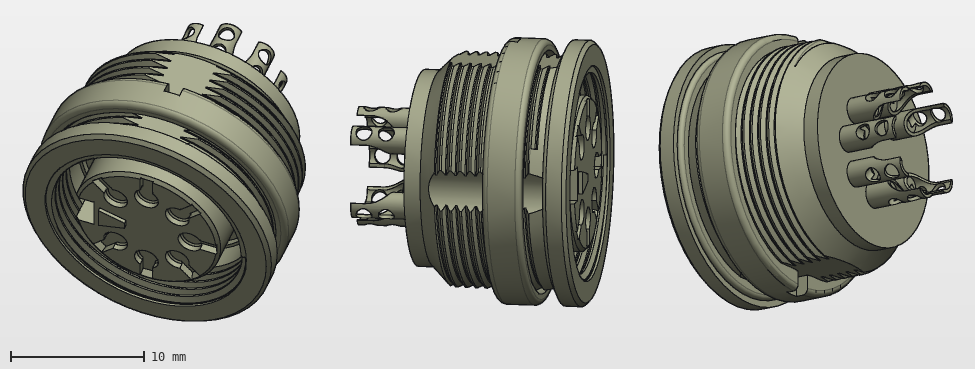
import cadquery as cq
import math


FLANGE_RADIUS = 10.0
FLANGE_THICKNESS = 1.5
FLANGE_CHAMFER = 0.3
BEAD_RADIUS = 9.5
BEAD_BACK = 1.9
BEAD_FILLET = 0.35
BEAD_EMBED = 0.5

RELIEF_RADIUS = 8.6
RELIEF_END = 3.0
THREAD_RADIUS = 8.95
REAR_RADIUS = 7.4
REAR_DISC_FRONT = 11.56
SHELL_BACK = 12.8
REAR_CONE_START = REAR_DISC_FRONT - (THREAD_RADIUS - REAR_RADIUS)
FLAT_DISTANCE = 8.43
KEY_GROOVE_RADIUS = 2.2
KEY_GROOVE_BOTTOM = 8.2
KEY_GROOVE_CENTRE = KEY_GROOVE_BOTTOM + KEY_GROOVE_RADIUS

THREAD_PITCH = 0.75
THREAD_CREST_FLAT = 0.15
THREAD_ROOT_FLAT = 0.1
OUTER_THREAD_DEPTH = 0.35
OUTER_THREAD_START = 2.65
OUTER_THREAD_END = 10.4
OUTER_THREAD_START_ANGLE = 202.0
CUTTER_OVERLAP = 0.05
TURN_CLEARANCE = 0.01

NUT_RADIUS = 10.0
NUT_FRONT = 3.4
NUT_THICKNESS = 3.0
NUT_FILLET = 0.45
NUT_BORE_RADIUS = 8.5
NUT_COUNTERBORE_RADIUS = 9.15
NUT_COUNTERBORE_DEPTH = 1.0
NUT_SLOT_WIDTH = 1.25
NUT_SLOT_DEPTH = 1.0

MOUTH_RADIUS = 8.1
MOUTH_DEPTH = 0.2
BORE_RADIUS = 7.6
BORE_DEPTH = 5.5
INNER_THREAD_START = 0.1
INNER_THREAD_LENGTH = 3.6
INNER_THREAD_DEPTH = 0.45
CAVITY_FLOOR_RADIUS = 7.35
CAVITY_DEPTH = 6.0

INSERT_RADIUS = 5.87
INSERT_FACE = 0.15
INSERT_CHAMFER = 0.27
KEYWAY_INNER_X = 4.23
KEYWAY_WIDTH = 2.56
KEYWAY_FLOOR_RADIUS = 5.6
KEYWAY_DEPTH = 5.5
CONTACT_CIRCLE_RADIUS = 3.5
CONTACT_ANGLES = [45 * step for step in range(8) if step != 4]
CONTACT_HOLE_RADIUS = 0.95
CONTACT_FLOOR_RADIUS = 0.82
CONTACT_DEPTH = 0.6
CONTACT_FLOOR_CHAMFER = CONTACT_HOLE_RADIUS - CONTACT_FLOOR_RADIUS
CONTACT_SLOT_WIDTH = 1.0
CONTACT_SLOT_END = 5.67
CONTACT_SLOT_FLOOR_END = 5.41

MARK_BASE_X = -3.75
MARK_TIP_X = -1.65
MARK_BASE_WIDTH = 1.7
MARK_TIP_WIDTH = 0.6
MARK_PROTRUSION = 0.15

PIN_RADIUS = 1.0
PIN_END = 17.6
CUP_RADIUS = 0.75
CUP_BOTTOM = 14.45
CUP_FACE = 0.5
CUP_CUT_RADIUS = 1.95
CUP_CUT_TOP = 16.42
WIRE_HOLE_RADIUS = 0.6
WIRE_HOLE_HEIGHTS = (14.93, 16.63)
PIN_EMBED = 0.2


def cylinder(radius, start, end):
    return cq.Workplane("XY").workplane(offset=start).circle(radius).extrude(end - start)


def block(x_min, x_max, y_min, y_max, z_min, z_max):
    size = (x_max - x_min, y_max - y_min, z_max - z_min)
    return cq.Workplane("XY").box(*size, centered=False).translate((x_min, y_min, z_min))


def helical_cutter(crest_radius, depth, start, length, start_angle):
    """Trapezoidal thread cutter; positive depth cuts inward, negative depth cuts outward."""
    overlap = math.copysign(CUTTER_OVERLAP, depth)
    half_root = THREAD_ROOT_FLAT / 2
    half_crest = (THREAD_PITCH - THREAD_CREST_FLAT) / 2
    half_open = half_crest + (half_crest - half_root) * overlap / depth
    half_open = min(half_open, THREAD_PITCH / 2 - TURN_CLEARANCE)
    outer = crest_radius + overlap
    root = crest_radius - depth
    path = cq.Workplane(obj=cq.Wire.makeHelix(THREAD_PITCH, length, crest_radius))
    profile = cq.Workplane("XZ").polyline(
        [(outer, -half_open), (root, -half_root), (root, half_root), (outer, half_open)]
    ).close()
    cutter = profile.sweep(path, isFrenet=True)
    return cutter.rotate((0, 0, 0), (0, 0, 1), start_angle).translate((0, 0, start))


def make_flange():
    flange = cylinder(FLANGE_RADIUS, 0, FLANGE_THICKNESS).faces("<Z").edges().chamfer(FLANGE_CHAMFER)
    bead = cylinder(BEAD_RADIUS, FLANGE_THICKNESS - BEAD_EMBED, BEAD_BACK)
    bead = bead.faces(">Z").edges().fillet(BEAD_FILLET)
    return flange.union(bead)


def make_threaded_shell():
    shell = (
        cq.Workplane("XZ")
        .moveTo(0, BEAD_BACK - BEAD_FILLET)
        .lineTo(RELIEF_RADIUS, BEAD_BACK - BEAD_FILLET)
        .lineTo(RELIEF_RADIUS, BEAD_BACK)
        .lineTo(THREAD_RADIUS, RELIEF_END)
        .lineTo(THREAD_RADIUS, REAR_CONE_START)
        .lineTo(REAR_RADIUS, REAR_DISC_FRONT)
        .lineTo(REAR_RADIUS, SHELL_BACK)
        .lineTo(0, SHELL_BACK)
        .close()
        .revolve(360, (0, 0, 0), (0, 1, 0))
    )
    thread_length = OUTER_THREAD_END - OUTER_THREAD_START
    shell = shell.cut(
        helical_cutter(
            THREAD_RADIUS, OUTER_THREAD_DEPTH, OUTER_THREAD_START, thread_length, OUTER_THREAD_START_ANGLE
        )
    )
    between_flats = block(
        -FLANGE_RADIUS, FLANGE_RADIUS, -FLAT_DISTANCE, FLAT_DISTANCE, 0, SHELL_BACK
    )
    key_groove = cylinder(KEY_GROOVE_RADIUS, BEAD_BACK, SHELL_BACK).translate((-KEY_GROOVE_CENTRE, 0, 0))
    return shell.intersect(between_flats).cut(key_groove)


def make_nut():
    nut_back = NUT_FRONT + NUT_THICKNESS
    nut = cylinder(NUT_RADIUS, NUT_FRONT, nut_back).faces("<Z or >Z").edges().fillet(NUT_FILLET)
    nut = nut.cut(cylinder(NUT_BORE_RADIUS, NUT_FRONT, nut_back))
    nut = nut.cut(cylinder(NUT_COUNTERBORE_RADIUS, NUT_FRONT, NUT_FRONT + NUT_COUNTERBORE_DEPTH))
    half_slot = NUT_SLOT_WIDTH / 2
    slots = block(-half_slot, half_slot, -NUT_RADIUS, NUT_RADIUS, nut_back - NUT_SLOT_DEPTH, nut_back)
    return nut.cut(slots)


def make_cavity():
    cavity = cylinder(MOUTH_RADIUS, 0, MOUTH_DEPTH)
    cavity = cavity.union(cylinder(BORE_RADIUS, 0, BORE_DEPTH))
    cavity = cavity.union(cylinder(CAVITY_FLOOR_RADIUS, 0, CAVITY_DEPTH))
    thread = helical_cutter(
        BORE_RADIUS, -INNER_THREAD_DEPTH, INNER_THREAD_START, INNER_THREAD_LENGTH, 0
    )
    return cavity, thread


def make_contact_recess():
    hole = cylinder(CONTACT_HOLE_RADIUS, 0, CONTACT_DEPTH)
    hole = hole.faces(">Z").edges().chamfer(CONTACT_FLOOR_CHAMFER)
    hole = hole.translate((CONTACT_CIRCLE_RADIUS, 0, 0))
    slot = (
        cq.Workplane("XZ")
        .moveTo(CONTACT_CIRCLE_RADIUS, 0)
        .lineTo(CONTACT_SLOT_END, 0)
        .lineTo(CONTACT_SLOT_FLOOR_END, CONTACT_DEPTH)
        .lineTo(CONTACT_CIRCLE_RADIUS, CONTACT_DEPTH)
        .close()
        .extrude(CONTACT_SLOT_WIDTH / 2, both=True)
    )
    return hole.union(slot)


def make_insert():
    insert = cylinder(INSERT_RADIUS, INSERT_FACE, CAVITY_DEPTH).faces("<Z").edges().chamfer(INSERT_CHAMFER)
    half_key = KEYWAY_WIDTH / 2
    insert = insert.cut(block(-INSERT_RADIUS, -KEYWAY_INNER_X, -half_key, half_key, 0, CAVITY_DEPTH))
    insert = insert.union(cylinder(KEYWAY_FLOOR_RADIUS, KEYWAY_DEPTH, CAVITY_DEPTH))
    recess = make_contact_recess().translate((0, 0, INSERT_FACE))
    for angle in CONTACT_ANGLES:
        insert = insert.cut(recess.rotate((0, 0, 0), (0, 0, 1), angle))
    mark = (
        cq.Workplane("XY")
        .workplane(offset=-MARK_PROTRUSION)
        .polyline(
            [
                (MARK_BASE_X, -MARK_BASE_WIDTH / 2),
                (MARK_TIP_X, -MARK_TIP_WIDTH / 2),
                (MARK_TIP_X, MARK_TIP_WIDTH / 2),
                (MARK_BASE_X, MARK_BASE_WIDTH / 2),
            ]
        )
        .close()
        .extrude(MARK_PROTRUSION + INSERT_FACE)
    )
    return insert.union(mark)


def make_solder_pin():
    """Pin on the local Z axis with its solder cup open towards -X."""
    pin = cylinder(PIN_RADIUS, SHELL_BACK - PIN_EMBED, PIN_END)
    pin = pin.cut(cylinder(CUP_RADIUS, CUP_BOTTOM, PIN_END))
    arc_angle = math.acos(1 - (PIN_RADIUS + CUP_FACE) / CUP_CUT_RADIUS)

    def arc_point(angle):
        x = CUP_FACE - CUP_CUT_RADIUS * (1 - math.cos(angle))
        return x, CUP_CUT_TOP - CUP_CUT_RADIUS * math.sin(angle)

    cup_opening = (
        cq.Workplane("XZ")
        .moveTo(*arc_point(arc_angle))
        .threePointArc(arc_point(arc_angle / 2), (CUP_FACE, CUP_CUT_TOP))
        .lineTo(CUP_FACE, PIN_END)
        .lineTo(-PIN_RADIUS, PIN_END)
        .close()
        .extrude(PIN_RADIUS, both=True)
    )
    pin = pin.cut(cup_opening)
    for height in WIRE_HOLE_HEIGHTS:
        hole = cq.Workplane("YZ").center(0, height).circle(WIRE_HOLE_RADIUS).extrude(PIN_RADIUS)
        pin = pin.cut(hole)
    return pin


body = make_flange().union(make_threaded_shell()).union(make_nut())
cavity, inner_thread = make_cavity()
body = body.cut(cavity).cut(inner_thread).union(make_insert())

solder_pin = make_solder_pin().translate((CONTACT_CIRCLE_RADIUS, 0, 0))
for pin_angle in CONTACT_ANGLES:
    body = body.union(solder_pin.rotate((0, 0, 0), (0, 0, 1), pin_angle))

result = body.rotate((0, 0, 0), (1, 0, 0), -90)